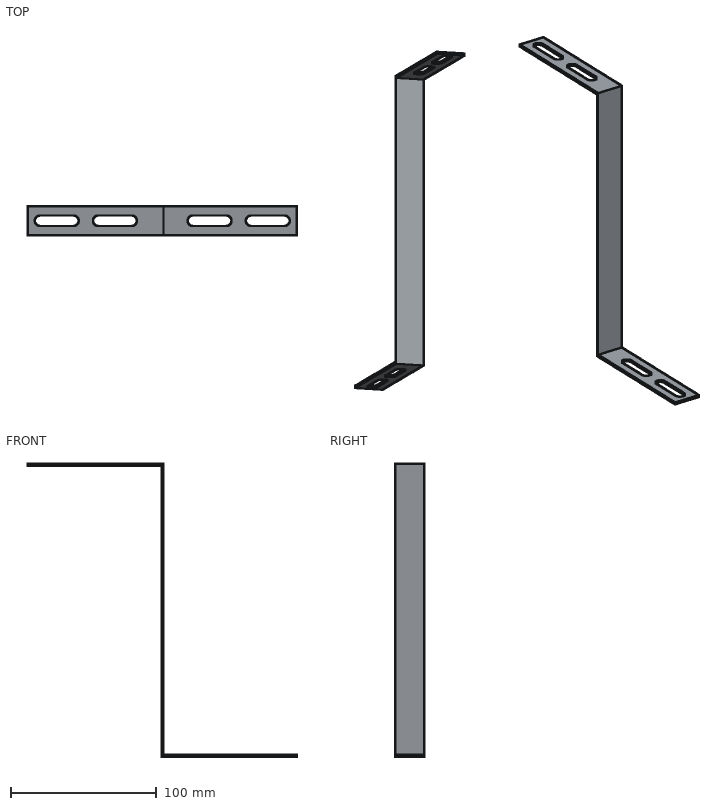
import cadquery as cq

overall_length = 185.0
overall_height = 201.5
strip_width = 20.0
thickness = 1.5

upper_flange_length = 93.5
lower_flange_length = overall_length - upper_flange_length + thickness

slot_length = 30.0
slot_width = 7.0
slot_pitch = 40.0
slot_end_margin = 5.0

left_end_x = -overall_length / 2
right_end_x = overall_length / 2
web_left_x = right_end_x - lower_flange_length
upper_flange_z = overall_height - thickness
slot_inset = slot_end_margin + slot_length / 2


def strip_block(left_x, bottom_z, length, height):
    """Full-width block, centred on Y, with its lower left edge at (left_x, bottom_z)."""
    block = cq.Workplane("XY").box(length, strip_width, height, centered=(False, True, False))
    return block.translate((left_x, 0, bottom_z))


def slot_cutters(centres_x, bottom_z):
    """Slots along X, on the strip's centreline, through the flange whose underside is at bottom_z."""
    return (
        cq.Workplane("XY", origin=(0, 0, bottom_z))
        .pushPoints([(x, 0) for x in centres_x])
        .slot2D(slot_length, slot_width)
        .extrude(thickness)
    )


upper_flange = strip_block(left_end_x, upper_flange_z, upper_flange_length, thickness)
web = strip_block(web_left_x, 0, thickness, overall_height)
lower_flange = strip_block(web_left_x, 0, lower_flange_length, thickness)
bracket = web.union(upper_flange).union(lower_flange)

upper_slot_x = left_end_x + slot_inset
lower_slot_x = right_end_x - slot_inset
upper_slots = slot_cutters([upper_slot_x, upper_slot_x + slot_pitch], upper_flange_z)
lower_slots = slot_cutters([lower_slot_x, lower_slot_x - slot_pitch], 0)

result = bracket.cut(upper_slots).cut(lower_slots)